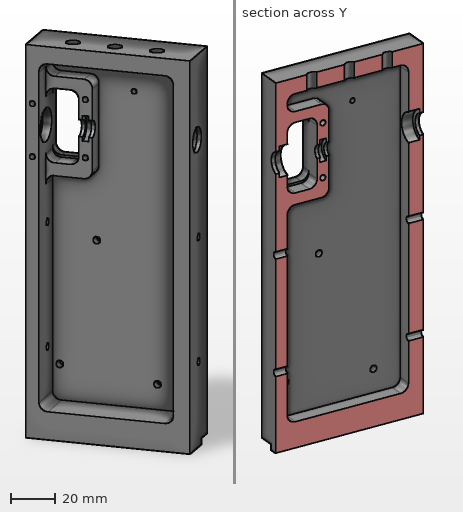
import cadquery as cq
import math

width = 78.0
depth = 24.0
height = 185.0

left_wall = 6.3
right_wall = 8.0
top_wall = 8.1
bottom_wall = 13.3
floor_thickness = 5.0
corner_radius = 4.0
floor_y = depth - floor_thickness
pocket_right = width - right_wall
pocket_top = height - top_wall

bore_y = 9.8
bore_z = 145.0
bore_diameter = 11.8
counterbore_diameter = 16.0
bore_lip = 2.0

pad_width = 22.0
pad_height = 46.8
pad_z = 144.9
pad_right = left_wall + pad_width
journal_diameter = 8.0
groove_diameter = bore_diameter
groove_width = 3.0

window_width = 15.5
window_height = 35.0
window_ledge = 1.1
window_z = bore_z
window_right = left_wall + window_width
bearing_width = pad_right - window_right
bearing_x = window_right + bearing_width / 2

screw_diameter = 2.5
screw_depth = 6.0
drill_tip_angle = 118
pad_screw_x = 25.0
pad_screw_spacing = 27.4
rim_screw_x = left_wall / 2
rim_screw_spacing = 25.0

floor_holes = [
    (45.0, 161.9, 2.4),
    (27.2, 90.1, 3.3),
    (9.6, 30.2, 3.3),
    (56.0, 25.2, 3.3),
]

side_hole_diameter = 3.3
side_hole_y = depth / 2
side_hole_heights = (40.1, 98.8)

top_hole_diameter = 6.5
top_hole_spacing = 20.0
top_hole_y = 10.0

rebate_depth = 8.0
rebate_height = 3.0


def block(x0, x1, y0, y1, z0, z1):
    """Box between two opposite corners."""
    return cq.Workplane("XY").box(x1 - x0, y1 - y0, z1 - z0, centered=False).translate((x0, y0, z0))


def rounded_block(x0, x1, y0, y1, z0, z1):
    """Box with its four edges along Y rounded."""
    return block(x0, x1, y0, y1, z0, z1).edges("|Y").fillet(corner_radius)


def rod(start, direction, diameter, length):
    """Solid cylinder from a start point along a direction."""
    return cq.Workplane(cq.Solid.makeCylinder(diameter / 2, length, cq.Vector(*start), cq.Vector(*direction)))


def x_rod(x0, x1, y, z, diameter):
    return rod((x0, y, z), (1, 0, 0), diameter, x1 - x0)


def screw_hole(x, y, z):
    """Cutter for a blind hole along +Y with a conical drill tip."""
    radius = screw_diameter / 2
    tip_length = radius / math.tan(math.radians(drill_tip_angle / 2))
    profile = cq.Workplane("XY").polyline(
        [(0, 0), (radius, 0), (radius, screw_depth), (0, screw_depth + tip_length)]
    )
    return profile.close().revolve(360, (0, 0, 0), (0, 1, 0)).translate((x, y, z))


def bearing_pad():
    """Pad whose corners against the left wall flare out, with rounded free corners."""
    bottom = pad_z - pad_height / 2
    top = pad_z + pad_height / 2
    pad = block(0, pad_right, bore_y, depth, bottom, top).edges("|Y and >X").fillet(corner_radius)
    flare_end = left_wall + corner_radius
    for edge_z, outward in ((bottom, -1), (top, 1)):
        centre_z = edge_z + outward * corner_radius
        flare = block(0, flare_end, bore_y, depth, min(edge_z, centre_z), max(edge_z, centre_z))
        round_cut = rod((flare_end, bore_y, centre_z), (0, 1, 0), 2 * corner_radius, depth - bore_y)
        pad = pad.union(flare.cut(round_cut))
    return pad


def window(y0, y1, opening_height):
    half = opening_height / 2
    return rounded_block(left_wall, window_right, y0, y1, window_z - half, window_z + half)


body = block(0, width, 0, depth, 0, height)
body = body.cut(rounded_block(left_wall, pocket_right, 0, floor_y, bottom_wall, pocket_top))
body = body.union(bearing_pad())
body = body.cut(block(0, width, depth - rebate_depth, depth, 0, rebate_height))

body = body.cut(window(bore_y, floor_y, window_height))
body = body.cut(window(bore_y, depth, window_height - 2 * window_ledge))

body = body.cut(x_rod(0, left_wall, bore_y, bore_z, bore_diameter))
body = body.cut(x_rod(bore_lip, left_wall, bore_y, bore_z, counterbore_diameter))
body = body.cut(x_rod(pocket_right, width, bore_y, bore_z, bore_diameter))
body = body.cut(x_rod(pocket_right, width - bore_lip, bore_y, bore_z, counterbore_diameter))
body = body.cut(x_rod(window_right, pad_right, bore_y, bore_z, journal_diameter))
groove_left = bearing_x - groove_width / 2
body = body.cut(x_rod(groove_left, groove_left + groove_width, bore_y, bore_z, groove_diameter))

for side in (-1, 1):
    body = body.cut(screw_hole(pad_screw_x, bore_y, bore_z + side * pad_screw_spacing / 2))
    body = body.cut(screw_hole(rim_screw_x, 0, bore_z + side * rim_screw_spacing / 2))

for x, z, diameter in floor_holes:
    body = body.cut(rod((x, floor_y, z), (0, 1, 0), diameter, floor_thickness))

for z in side_hole_heights:
    body = body.cut(x_rod(0, width, side_hole_y, z, side_hole_diameter))

for step in (-1, 0, 1):
    x = width / 2 + step * top_hole_spacing
    body = body.cut(rod((x, top_hole_y, pocket_top), (0, 0, 1), top_hole_diameter, top_wall))

result = body